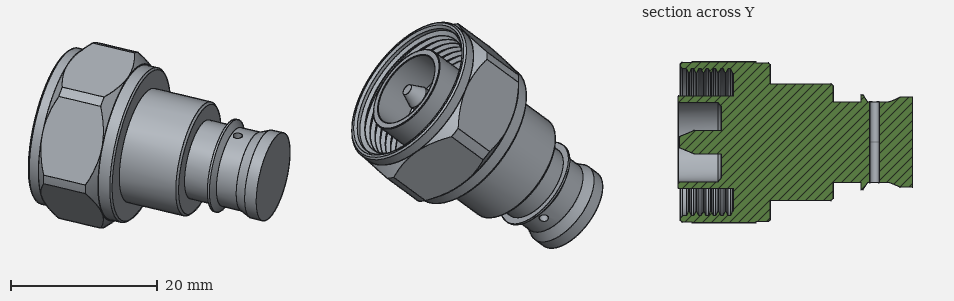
import cadquery as cq
import math

total_length = 32.0

nut_front = 0.3
hex_start = 1.9
hex_end = 10.66
nut_end = 12.6
hex_across_flats = 22.0
hex_corner_radius = 12.305
nut_front_radius = 10.95
nut_rear_radius = 10.85
nut_edge_chamfer = 0.25
corner_bevel = hex_corner_radius - hex_across_flats / 2

lead_in_radius = 10.35
lead_in_chamfer_end = 0.65
thread_root_radius = 10.0
thread_crest_radius = 9.37
thread_pitch = 1.0
thread_crest_width = 0.1
thread_flank_width = 0.3
first_crest = 1.45
crest_count = 7
socket_floor = first_crest + (crest_count - 1) * thread_pitch + thread_crest_width

ferrule_radius = 6.35
ferrule_edge_chamfer = 0.1
ferrule_bore_radius = 5.4
bore_edge_chamfer = 0.08
bore_taper_start = 5.45
bore_floor = 5.9
bore_floor_radius = 4.85

pin_tip = 0.2
pin_tip_radius = 0.8
pin_radius = 1.63
pin_taper_end = 2.2

body_radius = 8.0
body_end = 21.2
body_edge_chamfer = 0.3
neck_radius = 5.54
flange_start = 24.95
flange_rim_end = 25.25
flange_taper_end = 25.88
flange_radius = 6.5
flare_start = 28.8
flare_end = 30.3
flare_radius = 6.18

cross_hole_x = 26.8
cross_hole_diameter = 1.25


def revolve_profile(points):
    """Turn a closed (x, radius) outline about the X axis."""
    return cq.Workplane("XY").polyline(points).close().revolve(360, (0, 0, 0), (1, 0, 0))


def make_nut_collars():
    return revolve_profile([
        (nut_front, 0),
        (nut_front, nut_front_radius - nut_edge_chamfer),
        (nut_front + nut_edge_chamfer, nut_front_radius),
        (hex_start, nut_front_radius),
        (hex_start, nut_rear_radius),
        (nut_end - nut_edge_chamfer, nut_rear_radius),
        (nut_end, nut_rear_radius - nut_edge_chamfer),
        (nut_end, 0),
    ])


def make_hexagon():
    """Hexagon with flats on +Z and -Z, its corners turned round and bevelled at both ends."""
    across_corners = hex_across_flats / math.cos(math.pi / 6)
    prism = (
        cq.Workplane("YZ", origin=(hex_start, 0, 0))
        .polygon(6, across_corners)
        .extrude(hex_end - hex_start)
    )
    flat_radius = hex_across_flats / 2
    envelope = revolve_profile([
        (hex_start, 0),
        (hex_start, flat_radius),
        (hex_start + corner_bevel, hex_corner_radius),
        (hex_end - corner_bevel, hex_corner_radius),
        (hex_end, flat_radius),
        (hex_end, 0),
    ])
    return prism.intersect(envelope)


def make_socket():
    """Void inside the nut, with the thread modelled as a row of ring-shaped crests."""
    outline = [
        (nut_front, 0),
        (nut_front, lead_in_radius),
        (lead_in_chamfer_end, thread_root_radius),
    ]
    for index in range(crest_count):
        crest_start = first_crest + index * thread_pitch
        outline.append((crest_start - thread_flank_width, thread_root_radius))
        outline.append((crest_start, thread_crest_radius))
        if index < crest_count - 1:
            crest_end = crest_start + thread_crest_width
            outline.append((crest_end, thread_crest_radius))
            outline.append((crest_end + thread_flank_width, thread_root_radius))
    outline.append((socket_floor, thread_crest_radius))
    outline.append((socket_floor, 0))
    return revolve_profile(outline)


def make_ferrule():
    return revolve_profile([
        (bore_edge_chamfer, ferrule_bore_radius),
        (0, ferrule_bore_radius + bore_edge_chamfer),
        (0, ferrule_radius - ferrule_edge_chamfer),
        (ferrule_edge_chamfer, ferrule_radius),
        (socket_floor, ferrule_radius),
        (socket_floor, 0),
        (bore_floor, 0),
        (bore_floor, bore_floor_radius),
        (bore_taper_start, ferrule_bore_radius),
    ])


def make_pin():
    return revolve_profile([
        (pin_tip, 0),
        (pin_tip, pin_tip_radius),
        (pin_taper_end, pin_radius),
        (socket_floor, pin_radius),
        (socket_floor, 0),
    ])


def make_body_and_tail():
    return revolve_profile([
        (socket_floor, 0),
        (socket_floor, body_radius),
        (body_end - body_edge_chamfer, body_radius),
        (body_end, body_radius - body_edge_chamfer),
        (body_end, neck_radius),
        (flange_start, neck_radius),
        (flange_start, flange_radius),
        (flange_rim_end, flange_radius),
        (flange_taper_end, neck_radius),
        (flare_start, neck_radius),
        (flare_end, flare_radius),
        (total_length, flare_radius),
        (total_length, 0),
    ])


def make_cross_hole():
    return (
        cq.Workplane("XY", origin=(cross_hole_x, 0, 0))
        .circle(cross_hole_diameter / 2)
        .extrude(flange_radius, both=True)
    )


nut = make_nut_collars().union(make_hexagon()).cut(make_socket())
inner_parts = make_body_and_tail().union(make_ferrule()).union(make_pin())
result = nut.union(inner_parts).cut(make_cross_hole())